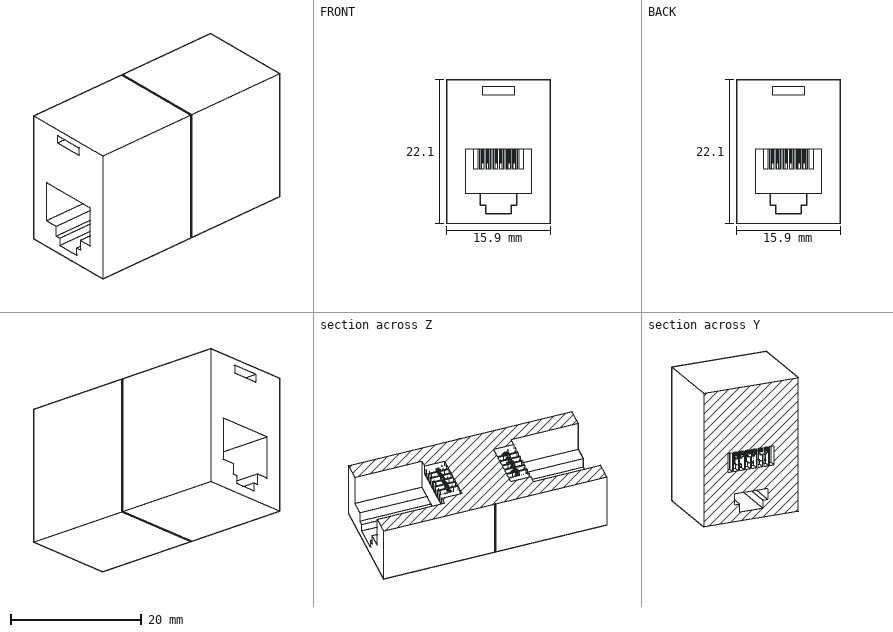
import cadquery as cq

WIDTH = 15.95
LENGTH = 36.53
HEIGHT = 22.15
TOP_Z = HEIGHT / 2
BOTTOM_Z = -HEIGHT / 2
FRONT_Y = -LENGTH / 2

GROOVE_WIDTH = 0.2
GROOVE_DEPTH = 0.07

SLOT_WIDTH = 4.9
SLOT_HEIGHT = 1.3
SLOT_TOP_GAP = 1.05
SLOT_DEPTH = 3.65

CAVITY_WIDTH = 10.1
CAVITY_HEIGHT = 6.85
CAVITY_TOP_GAP = 10.65
CAVITY_TOP_Z = TOP_Z - CAVITY_TOP_GAP
CAVITY_BOTTOM_Z = CAVITY_TOP_Z - CAVITY_HEIGHT
CAVITY_DEPTH = 10.95
LATCH_WIDTH = 5.55
LATCH_FLOOR_THICKNESS = 2.85
LATCH_BOTTOM_Z = BOTTOM_Z + LATCH_FLOOR_THICKNESS
KEY_WIDTH = 3.9
KEY_FLOOR_THICKNESS = 1.55
KEY_BOTTOM_Z = BOTTOM_Z + KEY_FLOOR_THICKNESS

POCKET_WIDTH = 7.7
POCKET_HEIGHT = 3.07
POCKET_DEPTH = 3.3
POCKET_FRONT_Y = FRONT_Y + CAVITY_DEPTH
POCKET_BACK_Y = POCKET_FRONT_Y + POCKET_DEPTH
POCKET_BOTTOM_Z = CAVITY_TOP_Z - POCKET_HEIGHT

COMB_WIDTH = 6.3
CONTACT_COUNT = 6
CONTACT_PITCH = 1.02
GAP_WIDTH = 0.73

THIN_BLADE_WIDTH = 0.22
BROAD_BLADE_WIDTH = 0.35
BLADE_THICKNESS = 0.35
BLADE_RUN = 2.2
THIN_BLADE_SETBACK = 0.45
BROAD_BLADE_SETBACK = 0.3
THIN_BLADE_OUTER_OFFSET = 0.25
FINGER_WIDTH = 0.15
FINGER_LENGTH = 2.12


def block(x_center, width, y_start, y_end, z_bottom, z_top):
    """Box given by its X centre and width and by its ends along Y and Z."""
    solid = cq.Workplane("XY").box(width, y_end - y_start, z_top - z_bottom, centered=(True, False, False))
    return solid.translate((x_center, y_start, z_bottom))


def parting_groove():
    """Rectangular ring removed from the outside at mid-length."""
    ring = cq.Workplane("XY").box(WIDTH, GROOVE_WIDTH, HEIGHT)
    core = cq.Workplane("XY").box(WIDTH - 2 * GROOVE_DEPTH, GROOVE_WIDTH, HEIGHT - 2 * GROOVE_DEPTH)
    return ring.cut(core)


def latch_channel():
    """Stepped channel under the plug cavities, open from end to end."""
    upper = block(0, LATCH_WIDTH, FRONT_Y, -FRONT_Y, LATCH_BOTTOM_Z, CAVITY_BOTTOM_Z)
    lower = block(0, KEY_WIDTH, FRONT_Y, -FRONT_Y, KEY_BOTTOM_Z, LATCH_BOTTOM_Z)
    return upper.union(lower)


def blade(x_center, width, setback):
    """Strip sloping back and down from the pocket ceiling to the pocket floor."""
    top_y = POCKET_FRONT_Y + setback
    foot_y = top_y + BLADE_RUN
    profile = [
        (top_y, CAVITY_TOP_Z),
        (foot_y, POCKET_BOTTOM_Z),
        (foot_y + BLADE_THICKNESS, POCKET_BOTTOM_Z),
        (top_y + BLADE_THICKNESS, CAVITY_TOP_Z),
    ]
    strip = cq.Workplane("YZ").polyline(profile).close().extrude(width / 2, both=True)
    return strip.translate((x_center, 0, 0))


def contact(x_center, thin_side):
    """One contact; thin_side is -1 or +1 for the side on which the thin blade lies."""
    shared_edge_x = x_center + thin_side * (THIN_BLADE_OUTER_OFFSET - THIN_BLADE_WIDTH)
    thin_x = shared_edge_x + thin_side * THIN_BLADE_WIDTH / 2
    broad_x = shared_edge_x - thin_side * BROAD_BLADE_WIDTH / 2
    finger_front_y = POCKET_FRONT_Y + BROAD_BLADE_SETBACK
    finger = block(
        broad_x,
        FINGER_WIDTH,
        finger_front_y,
        finger_front_y + BLADE_RUN,
        CAVITY_TOP_Z - FINGER_LENGTH,
        CAVITY_TOP_Z,
    )
    thin = blade(thin_x, THIN_BLADE_WIDTH, THIN_BLADE_SETBACK)
    broad = blade(broad_x, BROAD_BLADE_WIDTH, BROAD_BLADE_SETBACK)
    return thin.union(broad).union(finger)


def pocket_block(x_center, width):
    """Box of the given width with the full depth and height of the contact pocket."""
    return block(x_center, width, POCKET_FRONT_Y, POCKET_BACK_Y, POCKET_BOTTOM_Z, CAVITY_TOP_Z)


def jack_opening():
    """Everything removed from the -Y end, with the ribs and contacts left standing."""
    cavity = block(0, CAVITY_WIDTH, FRONT_Y, POCKET_FRONT_Y, CAVITY_BOTTOM_Z, CAVITY_TOP_Z)
    pocket = pocket_block(0, POCKET_WIDTH).cut(pocket_block(0, COMB_WIDTH))
    for i in range(CONTACT_COUNT):
        contact_x = (i - (CONTACT_COUNT - 1) / 2) * CONTACT_PITCH
        thin_side = -1 if i % 2 == 0 else 1
        gap = pocket_block(contact_x, GAP_WIDTH).cut(contact(contact_x, thin_side))
        pocket = pocket.union(gap)
    slot_top_z = TOP_Z - SLOT_TOP_GAP
    slot = block(0, SLOT_WIDTH, FRONT_Y, FRONT_Y + SLOT_DEPTH, slot_top_z - SLOT_HEIGHT, slot_top_z)
    return cavity.union(pocket).union(slot)


opening = jack_opening()
body = cq.Workplane("XY").box(WIDTH, LENGTH, HEIGHT)
body = body.cut(parting_groove()).cut(latch_channel())
result = body.cut(opening).cut(opening.mirror("XZ"))